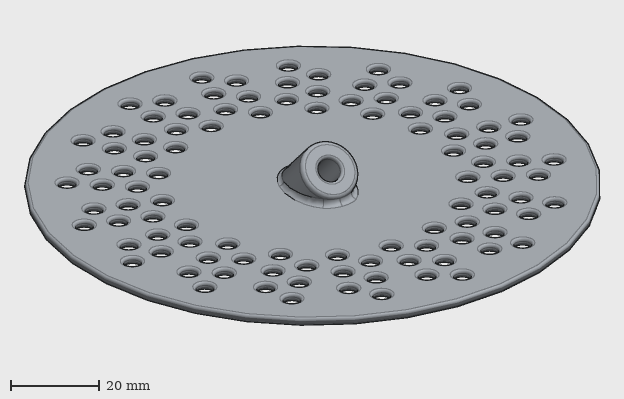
import cadquery as cq
import math

DISC_DIAMETER = 130.18
DISC_THICKNESS = 2.0
RIM_FILLET = 0.75

HUB_DIAMETER = 14.0
HUB_LENGTH = 22.0
HUB_TILT = 45.0
HUB_END_FILLET = 1.0
HUB_ROOT_FILLET = 1.2
BORE_DIAMETER = 5.5
BORE_MOUTH_FILLET = 0.75

HOLE_DIAMETER = 4.0
HOLE_MOUTH_DIAMETER = 5.5
HOLE_PITCH = 8.0
ROWS_PER_CLUSTER = 2
HOLES_PER_ROW = 3
CLUSTER_COUNT = 17
RIM_TO_OUTER_HOLE = 10.0

DISC_RADIUS = DISC_DIAMETER / 2
HUB_RADIUS = HUB_DIAMETER / 2
HOLE_MOUTH_FILLET = (HOLE_MOUTH_DIAMETER - HOLE_DIAMETER) / 2
ROW_SPACING = HOLE_PITCH * math.sin(math.radians(60))
ROW_STAGGER = HOLE_PITCH / 2
FIRST_HOLE_X = DISC_RADIUS - RIM_TO_OUTER_HOLE - ROW_STAGGER - (HOLES_PER_ROW - 1) * HOLE_PITCH


def make_disc():
    """Flat disc with both rims rounded."""
    disc = cq.Workplane("XY").circle(DISC_RADIUS).extrude(DISC_THICKNESS / 2, both=True)
    return disc.edges().fillet(RIM_FILLET)


def tilt(body):
    """Turn a body built along Z onto the hub axis."""
    return body.rotate((0, 0, 0), (0, 1, 0), HUB_TILT)


def make_hub():
    """Solid hub with rounded ends, lying on its tilted axis."""
    hub = cq.Workplane("XY").circle(HUB_RADIUS).extrude(HUB_LENGTH / 2, both=True)
    return tilt(hub.faces("|Z").edges().fillet(HUB_END_FILLET))


def join_hub(disc, hub):
    """Join the hub to the disc and blend its root on both disc faces."""
    box_half_width = HUB_LENGTH
    box_half_height = 0.6 * DISC_THICKNESS
    root_selector = cq.selectors.BoxSelector(
        (-box_half_width, -box_half_width, -box_half_height),
        (box_half_width, box_half_width, box_half_height),
        boundingbox=True,
    )
    return disc.union(hub).edges(root_selector).fillet(HUB_ROOT_FILLET)


def make_round_mouthed_cutter(diameter, length, mouth_fillet):
    """Cutter for a through hole along Z whose two mouths are rounded over."""
    radius = diameter / 2
    mouth_radius = radius + mouth_fillet
    half_length = length / 2
    straight_end = half_length - mouth_fillet
    return (
        cq.Workplane("XZ")
        .moveTo(0, -half_length)
        .lineTo(mouth_radius, -half_length)
        .radiusArc((radius, -straight_end), mouth_fillet)
        .lineTo(radius, straight_end)
        .radiusArc((mouth_radius, half_length), mouth_fillet)
        .lineTo(0, half_length)
        .close()
        .revolve(360, (0, 0, 0), (0, 1, 0))
    )


def hole_positions():
    """Centres of every perforation: staggered rows in each cluster."""
    positions = []
    for cluster in range(CLUSTER_COUNT):
        angle = 2 * math.pi * cluster / CLUSTER_COUNT
        for row in range(ROWS_PER_CLUSTER):
            for column in range(HOLES_PER_ROW):
                x = FIRST_HOLE_X + row * ROW_STAGGER + column * HOLE_PITCH
                y = row * ROW_SPACING
                turned_x = x * math.cos(angle) - y * math.sin(angle)
                turned_y = x * math.sin(angle) + y * math.cos(angle)
                positions.append((turned_x, turned_y))
    return positions


def make_perforations():
    """All the disc perforations as one cutting body."""
    cutter = make_round_mouthed_cutter(HOLE_DIAMETER, DISC_THICKNESS, HOLE_MOUTH_FILLET).val()
    return cq.Workplane("XY").pushPoints(hole_positions()).eachpoint(cutter, combine=False)


bore = tilt(make_round_mouthed_cutter(BORE_DIAMETER, HUB_LENGTH, BORE_MOUTH_FILLET))
result = join_hub(make_disc(), make_hub()).cut(bore).cut(make_perforations()).solids()